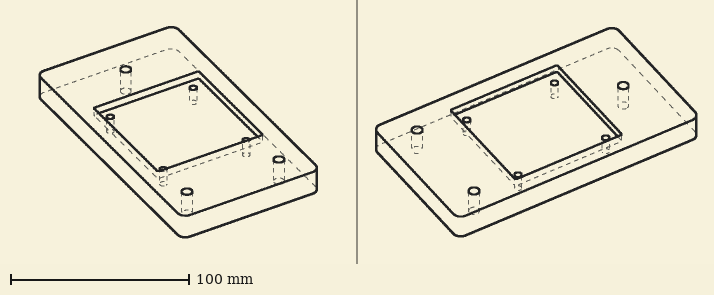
import cadquery as cq

length = 160.0
width = 90.0
thickness = 15.0
corner_radius = 5.0

pocket_length = 70.5
pocket_width = 68.5
pocket_depth = 5.0
pocket_corner_radius = 1.0

floor_hole_diameter = 4.2
floor_hole_spacing_x = 58.0
floor_hole_spacing_y = 54.0

mount_hole_diameter = 6.0
single_hole_x = -57.6
pair_hole_x = 60.0
pair_hole_spacing = 60.0
mount_hole_points = [
    (single_hole_x, 0),
    (pair_hole_x, -pair_hole_spacing / 2),
    (pair_hole_x, pair_hole_spacing / 2),
]


def rounded_block(size_x, size_y, height, radius):
    """Block standing on Z = 0 with rounded vertical edges."""
    block = cq.Workplane("XY").box(size_x, size_y, height, centered=(True, True, False))
    return block.edges("|Z").fillet(radius)


plate = rounded_block(length, width, thickness, corner_radius)

pocket = rounded_block(pocket_length, pocket_width, pocket_depth, pocket_corner_radius)
pocket = pocket.translate((0, 0, thickness - pocket_depth))

floor_holes = (
    cq.Workplane("XY")
    .rarray(floor_hole_spacing_x, floor_hole_spacing_y, 2, 2)
    .circle(floor_hole_diameter / 2)
    .extrude(thickness)
)

mount_holes = (
    cq.Workplane("XY")
    .pushPoints(mount_hole_points)
    .circle(mount_hole_diameter / 2)
    .extrude(thickness)
)

result = plate.cut(pocket).cut(floor_holes).cut(mount_holes)